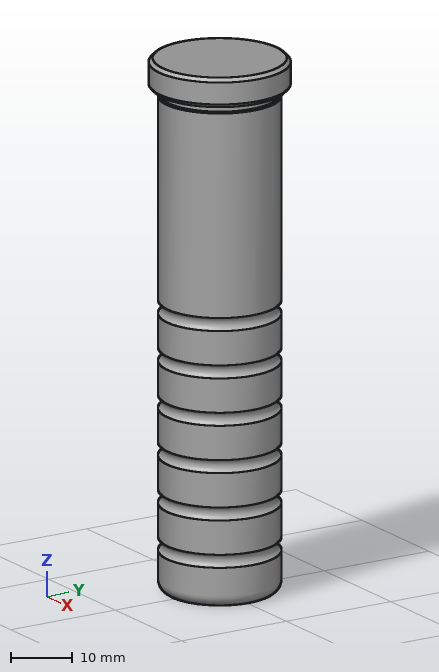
import cadquery as cq

length = 90.0
shank_radius = 10.0
tip_fillet = 2.0

head_radius = 11.5
head_height = 5.0
head_chamfer = 0.65

neck_radius = 9.75
neck_length = 1.1
neck_bevel = shank_radius - neck_radius

groove_count = 6
groove_pitch = 8.0
groove_width = 2.2
groove_depth = 0.6

head_bottom = length - head_height
neck_bottom = head_bottom - neck_length


def revolve_about_z(outline):
    """Spin a closed outline, drawn as (radius, height), about the Z axis."""
    return outline.revolve(360, (0, 0, 0), (0, 1, 0))


def make_body():
    """Shank, relief neck and head as one turned solid, with the tip rounded."""
    outline = (
        cq.Workplane("XZ")
        .lineTo(shank_radius, 0)
        .lineTo(shank_radius, neck_bottom - neck_bevel)
        .lineTo(neck_radius, neck_bottom)
        .lineTo(neck_radius, head_bottom)
        .lineTo(head_radius - head_chamfer, head_bottom)
        .lineTo(head_radius, head_bottom + head_chamfer)
        .lineTo(head_radius, length - head_chamfer)
        .lineTo(head_radius - head_chamfer, length)
        .lineTo(0, length)
        .close()
    )
    return revolve_about_z(outline).faces("<Z").edges().fillet(tip_fillet)


def make_groove(center_z):
    """Ring with a circular-arc section, reaching inward from the shank surface."""
    half_width = groove_width / 2
    outline = (
        cq.Workplane("XZ")
        .moveTo(shank_radius, center_z - half_width)
        .threePointArc((shank_radius - groove_depth, center_z), (shank_radius, center_z + half_width))
        .close()
    )
    return revolve_about_z(outline)


result = make_body()
for index in range(groove_count):
    result = result.cut(make_groove((index + 1) * groove_pitch))